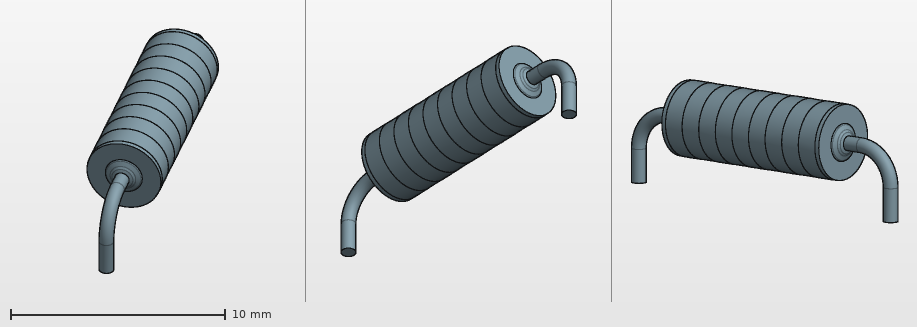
import cadquery as cq

AXIS_DIRECTION = (0, 1, 0)

body_diameter = 3.6
body_length = 9.5

band_diameter = 3.62
band_width = 1.0
band_count = 5
band_pitch = 2 * band_width

wire_diameter = 0.7
overall_length = 15.94
bend_radius = 1.79
overall_height = 5.21

meniscus_base_diameter = 1.8
meniscus_height = 0.3
meniscus_slope_changes = [(0.85, 0.05), (0.62, 0.16), (0.51, 0.24)]

wire_radius = wire_diameter / 2
half_body = body_length / 2
leg_y = overall_length / 2 - wire_radius
bend_start_y = leg_y - bend_radius
leg_bottom_z = band_diameter / 2 - overall_height


def tube(outer_diameter, inner_diameter, length, center_y):
    """Hollow cylinder along Y, centred at center_y."""
    return (
        cq.Workplane("XZ", origin=(0, center_y + length / 2, 0))
        .circle(outer_diameter / 2)
        .circle(inner_diameter / 2)
        .extrude(length)
    )


def make_body():
    """Body with a through hole for the wire."""
    return tube(body_diameter, wire_diameter, body_length, 0)


def make_band(center_y):
    """Colour band fitted around the body."""
    return tube(band_diameter, body_diameter, band_width, center_y)


def make_wire():
    """Wire swept down one leg, through the body and down the other leg."""
    path = (
        cq.Workplane("YZ")
        .moveTo(-leg_y, leg_bottom_z)
        .lineTo(-leg_y, -bend_radius)
        .tangentArcPoint((-bend_start_y, 0), relative=False)
        .lineTo(bend_start_y, 0)
        .tangentArcPoint((leg_y, -bend_radius), relative=False)
        .lineTo(leg_y, leg_bottom_z)
    )
    foot = cq.Workplane("XY", origin=(0, -leg_y, leg_bottom_z)).circle(wire_radius)
    return foot.sweep(path)


def make_meniscus(side):
    """Meniscus on the body face at the +Y (side = 1) or -Y (side = -1) end."""
    outline = [
        (wire_radius, 0),
        (meniscus_base_diameter / 2, 0),
        *meniscus_slope_changes,
        (wire_radius, meniscus_height),
    ]
    points = [(radius, side * (half_body + height)) for radius, height in outline]
    return cq.Workplane("XY").polyline(points).close().revolve(360, (0, 0, 0), AXIS_DIRECTION)


body = make_body()
bands = [make_band((index - (band_count - 1) / 2) * band_pitch) for index in range(band_count)]
wire = make_wire()
menisci = [make_meniscus(side) for side in (-1, 1)]

result = cq.Compound.makeCompound(
    [
        body.val(),
        *[band.val() for band in bands],
        wire.val(),
        *[meniscus.val() for meniscus in menisci],
    ]
)